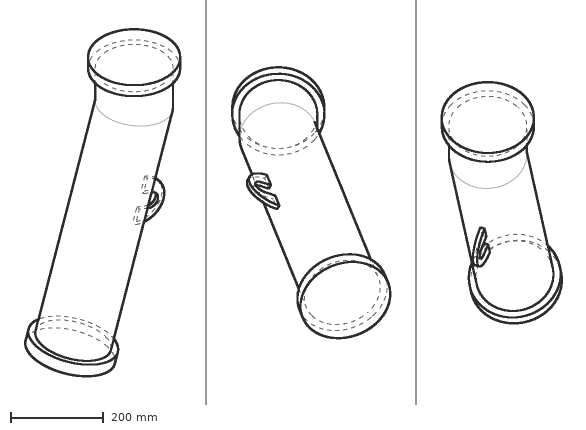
import cadquery as cq
import math

flange_diameter = 200.0
flange_thickness = 30.0
pipe_diameter = 168.5
bend_angle = 15.0
upper_length = 128.0
lower_length = 629.0

lug_radius = 59.0
lug_thickness = 10.0
lug_distance = 254.5
slot_width = 40.0
slot_end_offset = 24.0

pipe_radius = pipe_diameter / 2
tilt = math.radians(bend_angle)

down_axis = cq.Vector(0, -math.sin(tilt), -math.cos(tilt))
mitre_normal = cq.Vector(0, math.sin(tilt / 2), math.cos(tilt / 2))


def flanged_pipe(axis, length):
    """Pipe ending in a flange; it overshoots the bend so the mitre can trim it."""
    pipe_start = axis * -pipe_radius
    pipe_plane = cq.Plane(origin=pipe_start, xDir=(1, 0, 0), normal=axis)
    pipe = cq.Workplane(pipe_plane).circle(pipe_radius).extrude(length + pipe_radius)
    flange_start = axis * (length - flange_thickness)
    flange_plane = cq.Plane(origin=flange_start, xDir=(1, 0, 0), normal=axis)
    flange = cq.Workplane(flange_plane).circle(flange_diameter / 2).extrude(flange_thickness)
    return pipe.union(flange)


def mitre_side(normal):
    """Block filling the half-space of the mitre plane that the normal points into."""
    block_size = 2 * (upper_length + lower_length)
    mitre_plane = cq.Plane(origin=(0, 0, 0), xDir=(1, 0, 0), normal=normal)
    return cq.Workplane(mitre_plane).rect(block_size, block_size).extrude(block_size)


def slotted_lug():
    """Round plate centred on the pipe wall, with a slot running out of the pipe."""
    lug_plane = cq.Plane(
        origin=down_axis * lug_distance,
        xDir=(0, math.cos(tilt), -math.sin(tilt)),
        normal=(1, 0, 0),
    )
    wall_point = cq.Workplane(lug_plane).center(pipe_radius, 0)
    plate = wall_point.circle(lug_radius).extrude(lug_thickness / 2, both=True)
    slot_end = pipe_radius + slot_end_offset
    slot = (
        cq.Workplane(lug_plane)
        .moveTo(0, -slot_width / 2)
        .lineTo(slot_end, -slot_width / 2)
        .threePointArc((slot_end + slot_width / 2, 0), (slot_end, slot_width / 2))
        .lineTo(0, slot_width / 2)
        .close()
        .extrude(lug_thickness, both=True)
    )
    return plate.cut(slot)


upper_pipe = flanged_pipe(cq.Vector(0, 0, 1), upper_length).intersect(mitre_side(mitre_normal))
lower_pipe = flanged_pipe(down_axis, lower_length).intersect(mitre_side(mitre_normal * -1))

result = upper_pipe.union(lower_pipe).union(slotted_lug())